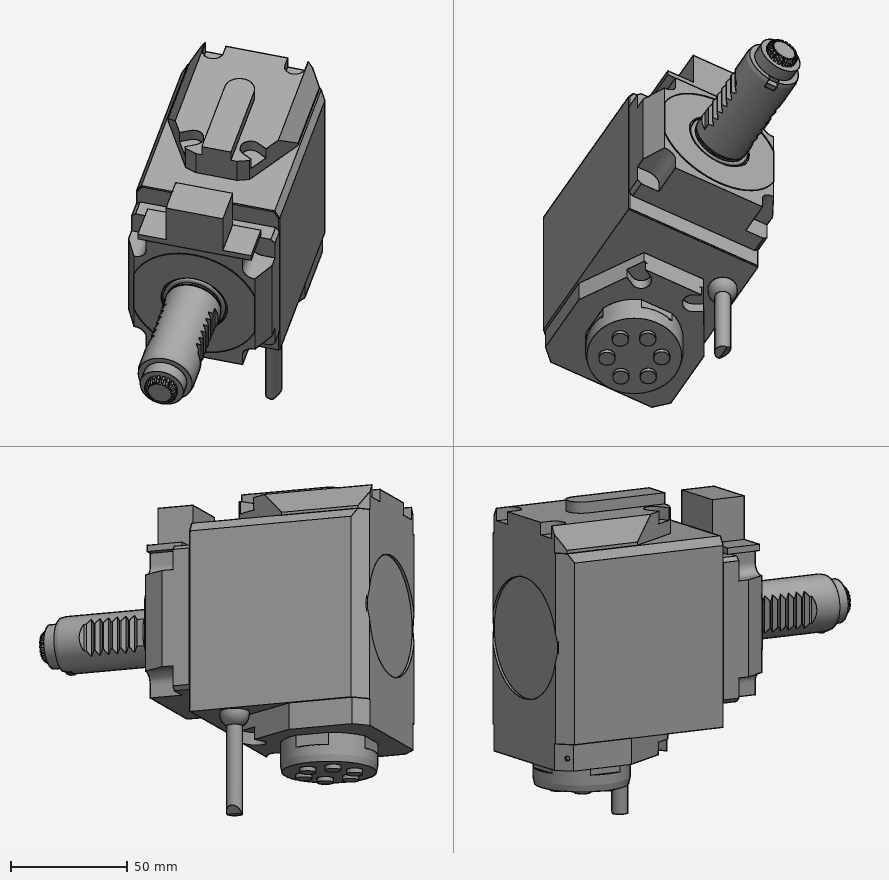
import cadquery as cq
import math


BACK_Y = 103.5
HALF_WIDTH = 32.0
BODY_FRONT_Y = 22.3
BODY_TOP_Z = 41.6
BODY_BOTTOM_Z = -42.2
BACK_CHAMFER = 6.0
FRONT_EDGE_CHAMFER = 0.4
TOP_CHAMFER_X = 2.25
TOP_CHAMFER_ANGLE = 60.0
TOP_CHAMFER_Z = TOP_CHAMFER_X * math.tan(math.radians(TOP_CHAMFER_ANGLE))
BACK_RECESS_RADIUS = 26.7
BACK_RECESS_DEPTH = 1.2

COVER_BACK_HALF = 25.0
COVER_TAPER_ANGLE = 30.0
COVER_TAPER = math.tan(math.radians(COVER_TAPER_ANGLE))
TOP_COVER_Z = 53.1
TOP_COVER_HALF = 29.0
TOP_COVER_FRONT_Y = 36.5
TOP_COVER_TAPER_Y = 64.0
TOP_COVER_NOSE_HALF = 9.2
TOP_COVER_FACET_DEPTH = 1.9
TOP_COVER_STRIP = 1.4
TOP_COVER_SLOPE_X = 6.0
BOTTOM_COVER_Z = -53.9
BOTTOM_COVER_HALF = 31.0
BOTTOM_COVER_FRONT_Y = 39.9
BOTTOM_COVER_TAPER_Y = 68.2

POCKET_RADIUS = 4.5
POCKET_DEPTH = 5.5
POCKET_REACH = 18.0
BACK_POCKET_X = 18.3
FRONT_POCKET_X = 12.8
FRONT_POCKET_Y = 45.7
SIDE_HOLE_DIA = 2.1
SIDE_HOLE_DEPTH = 2.0
SIDE_HOLE_Y = 99.4
SIDE_HOLE_Z = -48.5

KEY_WIDTH = 13.0
KEY_TOP_Z = 58.0
KEY_BACK_Y = 81.3

FLANGE_DEPTH = 14.7
NECK_CHAMFER = 1.8
NOTCH_X = 21.5
NOTCH_Z = 21.3
NOTCH_RADIUS = 5.0
FLANGE_FACE_HALF = 27.0
FLANGE_TAPER_Y = 9.8
FACE_PAD_DIA = 58.0
FACE_PAD_HEIGHT = 0.35
BLOCK_FACE_Y = 0.1
BLOCK_BACK_Y = 16.3
BLOCK_WIDTH = 25.4
BLOCK_TOP_Z = 53.9
BLOCK_FOOT_WIDTH = 50.5
BLOCK_FOOT_Z = 34.8

SHANK_DIA = 25.0
SHANK_END_Y = -48.4
SHANK_NECK_DIA = 24.1
SHANK_NECK_END_Y = -1.4
SHANK_LEAD_END_Y = -2.4
SHANK_END_CHAMFER = 1.9
SHANK_END_DIA = 24.1
RING_GROOVE_DIA = 29.5
RING_GROOVE_DEPTH = 1.0
SEAL_RING_DIA = 28.0
SEAL_RING_GRIP = 0.05
TIP_DIA = 19.27
TIP_END_Y = -54.1
SPLINE_DIA = 14.2
SPLINE_SHOULDER_DIA = 12.2
SPLINE_END_DIA = 10.5
SPLINE_SHOULDER_Y = -56.3
NOSE_END_Y = -57.5
SPLINE_TEETH = 20
SPLINE_GAP_WIDTH = 1.0

FLAT_X = 11.0
FLAT_START_Y = -7.0
FLAT_END_Y = -34.8
FLAT_RUNOUT = 1.7
TOOTH_COUNT = 6
TOOTH_PITCH = 4.0
FIRST_TOOTH_Y = -12.0
TOOTH_DEPTH = 1.5
TOOTH_HALF_WIDTH = 1.7

STOP_WIDTH = 4.7
STOP_BASE_Z = -9.3
STOP_OUTER_Z = -12.75
STOP_START_Y = -44.3
STOP_END_Y = -46.6

SPINDLE_Y = 74.5
SPINDLE_DIA = 42.0
SPINDLE_FLAT_OFFSET = 19.6
SPINDLE_FLAT_Z = -59.2
SPINDLE_END_Z = -66.6
SPINDLE_CHAMFER_HEIGHT = 2.9
SPINDLE_CHAMFER_WIDTH = 0.6
STUD_COUNT = 6
STUD_START_ANGLE = 30.0
STUD_DIA = 7.0
STUD_CIRCLE_RADIUS = 11.8
STUD_END_Z = -68.5

NOZZLE_X = 24.5
NOZZLE_Y = 40.4
NOZZLE_BALL_Z = -43.2
NOZZLE_BALL_DIA = 2 * 6.37
NOZZLE_PIPE_DIA = 7.0
NOZZLE_END_Z = -87.5
NOZZLE_BEVEL = 3.2

OVERLAP = 1.0


def box(x_range, y_range, z_range):
    """Axis-aligned block between the given limits."""
    size = [limits[1] - limits[0] for limits in (x_range, y_range, z_range)]
    corner = (x_range[0], y_range[0], z_range[0])
    return cq.Workplane("XY").box(*size, centered=False).translate(corner)


def prism_z(points, z_low, z_high):
    """Upright prism over a closed XY outline."""
    return cq.Workplane("XY").workplane(offset=z_low).polyline(points).close().extrude(z_high - z_low)


def prism_y(points, y_low, y_high):
    """Prism along Y over a closed XZ outline."""
    plane = cq.Workplane("XZ").workplane(offset=-y_high)
    return plane.polyline(points).close().extrude(y_high - y_low)


def cylinder_y(diameter, y_low, y_high):
    return cq.Workplane("XZ").workplane(offset=-y_high).circle(diameter / 2).extrude(y_high - y_low)


def cylinder_z(diameter, x, y, z_low, z_high):
    plane = cq.Workplane("XY").workplane(offset=z_low).center(x, y)
    return plane.circle(diameter / 2).extrude(z_high - z_low)


def mirrored(points):
    """Close a right-hand half outline with its mirror image in X = 0."""
    return points + [(-x, other) for x, other in reversed(points)]


def make_housing():
    section = mirrored([
        (HALF_WIDTH, BODY_BOTTOM_Z),
        (HALF_WIDTH, BODY_TOP_Z - TOP_CHAMFER_Z),
        (HALF_WIDTH - TOP_CHAMFER_X, BODY_TOP_Z),
    ])
    plan = mirrored([
        (HALF_WIDTH, BODY_FRONT_Y),
        (HALF_WIDTH, BACK_Y - BACK_CHAMFER),
        (HALF_WIDTH - BACK_CHAMFER, BACK_Y),
    ])
    housing = prism_y(section, BODY_FRONT_Y, BACK_Y)
    housing = housing.intersect(prism_z(plan, BODY_BOTTOM_Z, BODY_TOP_Z))
    housing = housing.faces("<Y").edges().chamfer(FRONT_EDGE_CHAMFER)
    return housing.cut(cylinder_y(2 * BACK_RECESS_RADIUS, BACK_Y - BACK_RECESS_DEPTH, BACK_Y))


def cover_plan(half_width, front_y, taper_y):
    """Plan outline with 45 degree back corners and 30 degree tapered front sides."""
    front_half = half_width - (taper_y - front_y) * COVER_TAPER
    return mirrored([
        (front_half, front_y),
        (half_width, taper_y),
        (half_width, BACK_Y - (half_width - COVER_BACK_HALF)),
        (COVER_BACK_HALF, BACK_Y),
    ])


def front_pocket(side, z_low, z_high):
    """Round-ended screw pocket that opens square to the tapered front side."""
    pocket = cylinder_z(2 * POCKET_RADIUS, 0, 0, z_low, z_high)
    pocket = pocket.union(box((0, POCKET_REACH), (-POCKET_RADIUS, POCKET_RADIUS), (z_low, z_high)))
    pocket = pocket.rotate((0, 0, 0), (0, 0, 1), -COVER_TAPER_ANGLE)
    pocket = pocket.translate((FRONT_POCKET_X, FRONT_POCKET_Y, 0))
    return pocket if side > 0 else pocket.mirror("YZ")


def back_pocket(side, z_low, z_high):
    """Round-ended screw pocket that opens at the back face."""
    x = side * BACK_POCKET_X
    y = BACK_Y - POCKET_RADIUS
    pocket = cylinder_z(2 * POCKET_RADIUS, x, y, z_low, z_high)
    return pocket.union(box((x - POCKET_RADIUS, x + POCKET_RADIUS), (y, BACK_Y), (z_low, z_high)))


def make_top_cover():
    facet_y = TOP_COVER_FRONT_Y + TOP_COVER_FACET_DEPTH
    nose = [(-TOP_COVER_NOSE_HALF, TOP_COVER_FRONT_Y), (TOP_COVER_NOSE_HALF, TOP_COVER_FRONT_Y)]
    plan = nose + cover_plan(TOP_COVER_HALF, facet_y, TOP_COVER_TAPER_Y)
    cover = prism_z(plan, BODY_TOP_Z, TOP_COVER_Z)
    section = mirrored([
        (TOP_COVER_HALF, BODY_TOP_Z),
        (TOP_COVER_HALF, BODY_TOP_Z + TOP_COVER_STRIP),
        (TOP_COVER_HALF - TOP_COVER_SLOPE_X, TOP_COVER_Z),
    ])
    cover = cover.intersect(prism_y(section, TOP_COVER_FRONT_Y, BACK_Y))
    for side in (-1, 1):
        cover = cover.cut(front_pocket(side, TOP_COVER_Z - POCKET_DEPTH, TOP_COVER_Z))
        cover = cover.cut(back_pocket(side, TOP_COVER_Z - POCKET_DEPTH, TOP_COVER_Z))
    return cover


def make_bottom_cover():
    plan = cover_plan(BOTTOM_COVER_HALF, BOTTOM_COVER_FRONT_Y, BOTTOM_COVER_TAPER_Y)
    cover = prism_z(plan, BOTTOM_COVER_Z, BODY_BOTTOM_Z)
    for side in (-1, 1):
        cover = cover.cut(front_pocket(side, BOTTOM_COVER_Z, BOTTOM_COVER_Z + POCKET_DEPTH))
    hole_x = -(COVER_BACK_HALF + BACK_Y - SIDE_HOLE_Y)
    inward = cq.Vector(1, -1, 0)
    hole = cq.Solid.makeCylinder(
        SIDE_HOLE_DIA / 2, SIDE_HOLE_DEPTH, cq.Vector(hole_x, SIDE_HOLE_Y, SIDE_HOLE_Z), inward
    )
    return cover.cut(cq.Workplane(obj=hole))


def make_guide_key():
    end_y = KEY_BACK_Y - KEY_WIDTH / 2
    limits = (TOP_COVER_Z - OVERLAP, KEY_TOP_Z)
    key = box((-KEY_WIDTH / 2, KEY_WIDTH / 2), (TOP_COVER_FRONT_Y, end_y), limits)
    return key.union(cylinder_z(KEY_WIDTH, 0, end_y, *limits))


def make_flange():
    square = (-HALF_WIDTH, HALF_WIDTH)
    neck = box(square, (FLANGE_DEPTH, BODY_FRONT_Y), square).edges("|Y").chamfer(NECK_CHAMFER)

    plan = mirrored([
        (FLANGE_FACE_HALF, 0),
        (HALF_WIDTH, FLANGE_TAPER_Y),
        (HALF_WIDTH, FLANGE_DEPTH),
    ])
    flange = prism_z(plan, -HALF_WIDTH, HALF_WIDTH)
    for side_x in (-1, 1):
        for side_z in (-1, 1):
            x_limits = sorted((side_x * NOTCH_X, side_x * (HALF_WIDTH + NOTCH_RADIUS)))
            z_limits = sorted((side_z * NOTCH_Z, side_z * (HALF_WIDTH + NOTCH_RADIUS)))
            notch = box(x_limits, (0, FLANGE_DEPTH), z_limits).edges("|Y").fillet(NOTCH_RADIUS)
            flange = flange.cut(notch)

    pad = cylinder_y(FACE_PAD_DIA, -FACE_PAD_HEIGHT, OVERLAP)
    pad = pad.intersect(box((-FLANGE_FACE_HALF, FLANGE_FACE_HALF), (-FACE_PAD_HEIGHT, OVERLAP), square))

    foot_half = BLOCK_FOOT_WIDTH / 2
    block_half = BLOCK_WIDTH / 2
    block_section = mirrored([
        (NOTCH_X, HALF_WIDTH - OVERLAP),
        (NOTCH_X, HALF_WIDTH),
        (foot_half, HALF_WIDTH),
        (foot_half, BLOCK_FOOT_Z),
        (block_half, BLOCK_FOOT_Z),
        (block_half, BLOCK_TOP_Z),
    ])
    block = prism_y(block_section, BLOCK_FACE_Y, BLOCK_BACK_Y)

    groove = cylinder_y(RING_GROOVE_DIA, -FACE_PAD_HEIGHT, RING_GROOVE_DEPTH - FACE_PAD_HEIGHT)
    return neck.union(flange).union(pad).union(block).cut(groove)


def tooth_flank():
    """Material removed from the +X flank: a flat, V notches and a sloping run-out."""
    outer_x = SHANK_DIA / 2 + OVERLAP
    runout_slope = FLAT_RUNOUT / (SHANK_DIA / 2 - FLAT_X)
    points = [(outer_x, FLAT_START_Y), (FLAT_X, FLAT_START_Y)]
    for index in range(TOOTH_COUNT):
        y = FIRST_TOOTH_Y - index * TOOTH_PITCH
        points.append((FLAT_X, y + TOOTH_HALF_WIDTH))
        points.append((FLAT_X - TOOTH_DEPTH, y))
        points.append((FLAT_X, y - TOOTH_HALF_WIDTH))
    points.append((FLAT_X, FLAT_END_Y))
    points.append((outer_x, FLAT_END_Y - (outer_x - FLAT_X) * runout_slope))
    return prism_z(points, -SHANK_DIA / 2, SHANK_DIA / 2)


def make_shank():
    profile = [
        (0, RING_GROOVE_DEPTH),
        (SHANK_NECK_DIA / 2, RING_GROOVE_DEPTH),
        (SHANK_NECK_DIA / 2, SHANK_NECK_END_Y),
        (SHANK_DIA / 2, SHANK_LEAD_END_Y),
        (SHANK_DIA / 2, SHANK_END_Y + SHANK_END_CHAMFER),
        (SHANK_END_DIA / 2, SHANK_END_Y),
        (TIP_DIA / 2, SHANK_END_Y),
        (TIP_DIA / 2, TIP_END_Y),
        (0, TIP_END_Y),
    ]
    shank = cq.Workplane("XY").polyline(profile).close().revolve(360, (0, 0, 0), (0, 1, 0))
    flank = tooth_flank()
    shank = shank.cut(flank).cut(flank.mirror("YZ"))

    stop_x = (-STOP_WIDTH / 2, STOP_WIDTH / 2)
    stop_z = (STOP_OUTER_Z, STOP_BASE_Z)
    shank = shank.union(box(stop_x, (STOP_END_Y, STOP_START_Y), stop_z))
    return shank.cut(box(stop_x, (SHANK_END_Y, STOP_END_Y), (STOP_OUTER_Z, -TIP_DIA / 2)))


def make_seal_ring():
    """Round seal ring seated in the groove around the shank neck."""
    tube_radius = (SEAL_RING_DIA - SHANK_NECK_DIA) / 4 + SEAL_RING_GRIP
    centre_radius = SEAL_RING_DIA / 2 - tube_radius
    ring = cq.Solid.makeTorus(centre_radius, tube_radius, cq.Vector(0, 0, 0), cq.Vector(0, 1, 0))
    return cq.Workplane(obj=ring)


def make_spline():
    profile = [
        (0, TIP_END_Y + OVERLAP),
        (SPLINE_DIA / 2, TIP_END_Y + OVERLAP),
        (SPLINE_DIA / 2, SPLINE_SHOULDER_Y),
        (SPLINE_SHOULDER_DIA / 2, NOSE_END_Y),
        (0, NOSE_END_Y),
    ]
    spline = cq.Workplane("XY").polyline(profile).close().revolve(360, (0, 0, 0), (0, 1, 0))
    gap = box(
        (SPLINE_END_DIA / 2, SPLINE_DIA),
        (NOSE_END_Y, TIP_END_Y),
        (-SPLINE_GAP_WIDTH / 2, SPLINE_GAP_WIDTH / 2),
    )
    for index in range(SPLINE_TEETH):
        angle = index * 360 / SPLINE_TEETH
        spline = spline.cut(gap.rotate((0, 0, 0), (0, 1, 0), angle))
    return spline


def make_spindle_nose():
    radius = SPINDLE_DIA / 2
    profile = [
        (0, BOTTOM_COVER_Z + OVERLAP),
        (radius, BOTTOM_COVER_Z + OVERLAP),
        (radius, SPINDLE_END_Z + SPINDLE_CHAMFER_HEIGHT),
        (radius - SPINDLE_CHAMFER_WIDTH, SPINDLE_END_Z),
        (0, SPINDLE_END_Z),
    ]
    nose = cq.Workplane("XZ").polyline(profile).close().revolve(360, (0, 0, 0), (0, 1, 0))
    flat = box((SPINDLE_FLAT_OFFSET, radius), (-radius, radius), (SPINDLE_FLAT_Z, BOTTOM_COVER_Z))
    for angle in (0, 90, 180, 270):
        nose = nose.cut(flat.rotate((0, 0, 0), (0, 0, 1), angle))
    for index in range(STUD_COUNT):
        angle = math.radians(STUD_START_ANGLE + index * 360 / STUD_COUNT)
        x = STUD_CIRCLE_RADIUS * math.cos(angle)
        y = STUD_CIRCLE_RADIUS * math.sin(angle)
        nose = nose.union(cylinder_z(STUD_DIA, x, y, STUD_END_Z, SPINDLE_END_Z + OVERLAP))
    return nose.translate((0, SPINDLE_Y, 0))


def make_nozzle():
    """Ball swivel under the housing with a bevelled coolant pipe."""
    radius = NOZZLE_BALL_DIA / 2
    ball = cq.Workplane("XY").sphere(radius).translate((NOZZLE_X, NOZZLE_Y, NOZZLE_BALL_Z))
    pipe = cylinder_z(NOZZLE_PIPE_DIA, NOZZLE_X, NOZZLE_Y, NOZZLE_END_Z, BODY_BOTTOM_Z)
    pipe_side = NOZZLE_X + NOZZLE_PIPE_DIA / 2
    bevel = prism_y(
        [
            (pipe_side - NOZZLE_BEVEL, NOZZLE_END_Z),
            (pipe_side, NOZZLE_END_Z),
            (pipe_side, NOZZLE_END_Z + NOZZLE_BEVEL),
        ],
        NOZZLE_Y - NOZZLE_PIPE_DIA / 2,
        NOZZLE_Y + NOZZLE_PIPE_DIA / 2,
    )
    below = box(
        (NOZZLE_X - radius, NOZZLE_X + radius),
        (NOZZLE_Y - radius, NOZZLE_Y + radius),
        (NOZZLE_BALL_Z - radius, BODY_BOTTOM_Z),
    )
    return ball.intersect(below).union(pipe.cut(bevel))


result = (
    make_housing()
    .union(make_top_cover())
    .union(make_bottom_cover())
    .union(make_guide_key())
    .union(make_flange())
    .union(make_shank())
    .union(make_seal_ring())
    .union(make_spline())
    .union(make_spindle_nose())
    .union(make_nozzle())
)